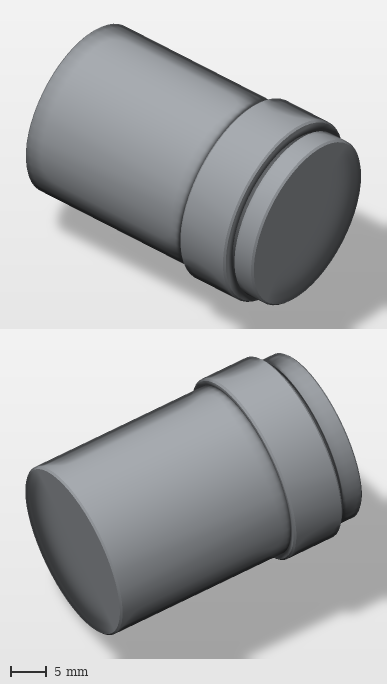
import cadquery as cq

total_length = 40.0
body_length = 28.0
collar_length = 8.0
groove_width = 0.8
ring_length = total_length - body_length - collar_length - groove_width

body_diameter = 26.0
collar_diameter = 28.0
groove_diameter = 24.4
ring_diameter = 25.5
edge_chamfer = 0.3


def cylinder_along_x(start, length, diameter):
    """Solid cylinder on the X axis, beginning at x = start."""
    return cq.Workplane("YZ", origin=(start, 0, 0)).circle(diameter / 2).extrude(length)


body_start = -total_length / 2
collar_start = body_start + body_length
groove_start = collar_start + collar_length
ring_start = groove_start + groove_width

body = cylinder_along_x(body_start, body_length, body_diameter)
body = body.faces("<X").chamfer(edge_chamfer)

collar = cylinder_along_x(collar_start, collar_length, collar_diameter)
collar = collar.edges().chamfer(edge_chamfer)

groove = cylinder_along_x(groove_start, groove_width, groove_diameter)
ring = cylinder_along_x(ring_start, ring_length, ring_diameter)
ring = ring.faces(">X").chamfer(edge_chamfer)

result = body.union(collar).union(groove).union(ring)